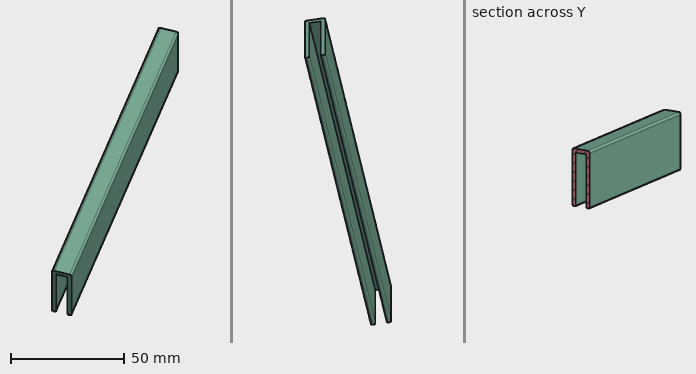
import cadquery as cq

width = 9.144
length = 152.4
height = 26.67

slot_width = 5.08
leg_thickness = (width - slot_width) / 2
web_thickness = leg_thickness
leg_tip_radius = leg_thickness / 2
top_edge_radius = leg_tip_radius


def channel_section():
    """Inverted U with fully rounded leg tips, centred on X and Z."""
    outer_x = width / 2
    inner_x = slot_width / 2
    leg_x = (outer_x + inner_x) / 2
    top_z = height / 2
    bottom_z = -height / 2
    tip_start_z = bottom_z + leg_tip_radius
    slot_top_z = top_z - web_thickness
    return (
        cq.Workplane("XZ")
        .moveTo(-outer_x, top_z)
        .lineTo(outer_x, top_z)
        .lineTo(outer_x, tip_start_z)
        .threePointArc((leg_x, bottom_z), (inner_x, tip_start_z))
        .lineTo(inner_x, slot_top_z)
        .lineTo(-inner_x, slot_top_z)
        .lineTo(-inner_x, tip_start_z)
        .threePointArc((-leg_x, bottom_z), (-outer_x, tip_start_z))
        .close()
    )


def round_top_edges(channel):
    """Round the two long outer edges of the web."""
    return channel.faces(">Z").edges("|Y").fillet(top_edge_radius)


channel = channel_section().extrude(length / 2, both=True)
result = round_top_edges(channel)